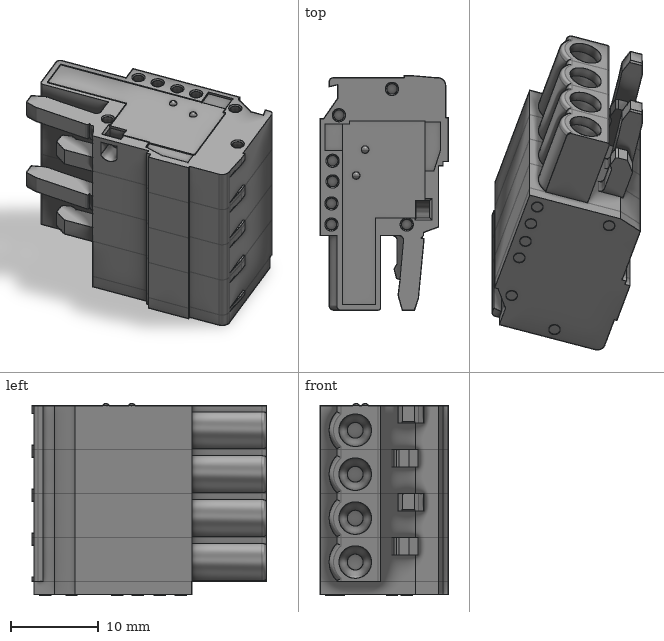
import cadquery as cq

module_count = 4
module_pitch = 5.0
stack_height = module_count * module_pitch

width = 14.6
back = 17.97
neck_x = 2.0
hook_x = 1.03
left_ledge = 13.31
ledge_x = 0.4
neck_end = 15.62
hook_tip = 16.93
hook_root = 17.15
hook_radius = 0.47
back_x = 14.3
back_radius = 0.9
step_top = 13.42
step_end = 8.42
step_x = 14.0
substep_end = 7.93
right_x = 13.5
slope_top = 0.98
slope_x = 10.84

ridge_height = 0.23
ridge_start = 9.55
ridge_flat_end = 10.55
ridge_end = 13.2
ridge_upper_depth = 0.9
ridge_lower_depth = 0.5

plate_thickness = 1.5
pin_height = 0.1
pin_diameter = 1.3

plug_length = 8.5
plug_left = 1.9
plug_right = 6.9
plug_axis_x = 4.0
plug_axis_z = 2.2
plug_radius = 2.97
plug_edge_radius = 0.5
plug_corner_radius = 0.3
bore_diameter = 3.7
bore_tip_diameter = 1.8
bore_depth = 1.15
bore_cone_depth = 1.5

latch_height = 2.0
latch_embed = 0.6
latch_root_radius = 0.55
long_latch_left = 9.5
short_latch_left = 8.75
long_latch_tip_chamfer = 0.2
long_latch_corners = [
    (9.1, -4.9), (8.87, -6.8), (9.35, -plug_length), (10.75, -plug_length), (11.2, -7.1),
    (11.82, -0.6), (11.82, -0.35), (11.5, -0.27), (11.77, 0), (11.77, latch_embed),
]
short_latch_corners = [
    (short_latch_left, -3.2), (8.42, -3.8), (8.7, -4.9), (9.0, -5.0), (10.1, -5.0),
    (11.14, -3.6), (11.14, latch_embed),
]

hole_centres = [
    (8.18, 16.69), (2.14, 13.7), (1.42, 8.51), (1.42, 6.16),
    (1.29, 3.66), (1.29, 1.26), (9.86, 1.26),
]
hole_diameter = 1.2
hole_rim_diameter = 1.5
hole_rim_depth = 0.15
hole_depth = 1.0

panel_depth = 0.1
pocket_depth = 0.25
panel_left = 2.57
panel_right = 11.95
panel_back = 13.05
panel_step_x = 3.35
left_pocket_x = 0.57
left_pocket_back = 12.72
left_pocket_front = 9.67
right_pocket_x = 13.7
right_pocket_back = 12.95
right_pocket_bend = 9.7
right_pocket_front_x = 12.95
right_pocket_front = 7.37
panel_shoulder = 2.0
panel_tongue_x = 6.3
panel_tongue_end = -7.85

dome_centres = [(5.12, 9.78), (4.1, 6.83)]
dome_diameter = 0.85
dome_height = 0.25

window_left = 10.8
window_right = 12.75
window_front = 1.8
window_back = 4.2
window_rim_depth = 0.34
well_left = 10.92
well_right = 12.45
well_front = 2.0
well_back = 4.0
well_depth = 2.4
trough_sag = 0.6
side_slot_top = 0.6


def prism(outline, bottom, height):
    return cq.Workplane("XY").workplane(offset=bottom).polyline(outline).close().extrude(height)


def box(x0, x1, y0, y1, z0, z1):
    return cq.Workplane("XY").box(x1 - x0, y1 - y0, z1 - z0, centered=False).translate((x0, y0, z0))


def profile(left_edge):
    """Closed section of the body; left_edge draws from the neck to the straight back edge."""
    return (
        left_edge(
            cq.Workplane("XY")
            .moveTo(0, 0)
            .lineTo(0, left_ledge)
            .lineTo(ledge_x, left_ledge)
            .lineTo(neck_x, neck_end)
        )
        .lineTo(back_x - back_radius, back)
        .radiusArc((back_x, back - back_radius), back_radius)
        .lineTo(back_x, step_top)
        .lineTo(width, step_top)
        .lineTo(width, step_end)
        .lineTo(step_x, step_end)
        .lineTo(step_x, substep_end)
        .lineTo(right_x, substep_end)
        .lineTo(right_x, slope_top)
        .lineTo(slope_x, 0)
        .close()
    )


def hooked_edge(path):
    return (
        path.lineTo(neck_x, hook_root)
        .lineTo(hook_x, hook_tip)
        .lineTo(hook_x, back - hook_radius)
        .radiusArc((hook_x + hook_radius, back), hook_radius)
    )


def plain_edge(path):
    return path.lineTo(neck_x, back)


def housing():
    """Body of one module, with the hook at the back left."""
    return profile(hooked_edge).extrude(module_pitch)


def ridges():
    """Two shallow ridges on the back face, at the top and the bottom of one module."""
    outline = [
        (ridge_start, back - ridge_height),
        (ridge_start, back + ridge_height),
        (ridge_flat_end, back + ridge_height),
        (ridge_end, back),
        (ridge_end, back - ridge_height),
    ]
    upper = prism(outline, module_pitch - ridge_upper_depth, ridge_upper_depth)
    return upper.union(prism(outline, 0, ridge_lower_depth))


def plug():
    """Plug sleeve: a block with a cylindrical bulge on its left, rounded at the free end."""
    block = box(plug_left, plug_right, -plug_length, 0, 0, module_pitch)
    block = block.edges("<Y and >X").fillet(plug_corner_radius)
    block = block.edges("<Y and <X").fillet(plug_edge_radius)
    bulge = (
        cq.Workplane("XZ")
        .center(plug_axis_x, plug_axis_z)
        .circle(plug_radius)
        .extrude(plug_length)
        .faces("<Y").edges().fillet(plug_edge_radius)
    )
    keep = box(0, plug_axis_x, -plug_length, 0, 0, module_pitch)
    return block.union(bulge.intersect(keep))


def plug_bore():
    """Straight wire entry that narrows to a conical seat."""
    cone_start = bore_depth - plug_length
    cone_end = cone_start + bore_cone_depth
    return (
        cq.Workplane("XY")
        .moveTo(0, -plug_length)
        .lineTo(bore_diameter / 2, -plug_length)
        .lineTo(bore_diameter / 2, cone_start)
        .lineTo(bore_tip_diameter / 2, cone_end)
        .lineTo(0, cone_end)
        .close()
        .revolve(360, (0, 0, 0), (0, 1, 0))
        .translate((plug_axis_x, 0, plug_axis_z))
    )


def latch_arm(left_face, corners):
    """Arm at the top of a module: a filleted root on the left, then straight runs through the corners."""
    root_x = left_face - latch_root_radius
    return (
        cq.Workplane("XY")
        .workplane(offset=module_pitch - latch_height)
        .moveTo(root_x, latch_embed)
        .lineTo(root_x, 0)
        .radiusArc((left_face, -latch_root_radius), latch_root_radius)
        .polyline(corners, includeCurrent=True)
        .close()
        .extrude(latch_height)
    )


def long_latch():
    """Long tapered arm with its tip bevelled underneath and a small notch at its right root."""
    arm = latch_arm(long_latch_left, long_latch_corners)
    return arm.faces("<Y").edges("<Z").chamfer(long_latch_tip_chamfer)


def short_latch():
    """Short arm with a barb on its left side."""
    return latch_arm(short_latch_left, short_latch_corners)


def module(latch):
    return housing().union(ridges()).union(plug()).union(latch).cut(plug_bore())


def end_plate():
    """Plain closing plate below the stack, with locating pins underneath."""
    plate = profile(plain_edge).extrude(-plate_thickness)
    pins = (
        cq.Workplane("XY")
        .workplane(offset=-plate_thickness - pin_height)
        .pushPoints(hole_centres)
        .circle(pin_diameter / 2)
        .extrude(2 * pin_height)
    )
    return plate.union(pins)


def top_hole(centre):
    """Blind socket with a conical lead-in."""
    top = cq.Workplane("XY").workplane(offset=stack_height).center(*centre)
    socket = top.circle(hole_diameter / 2).extrude(-hole_depth)
    rim = (
        top.circle(hole_rim_diameter / 2)
        .workplane(offset=-hole_rim_depth)
        .circle(hole_diameter / 2)
        .loft()
    )
    return socket.union(rim)


def panel_recess():
    """Shallow panel recess with a deeper pocket on either side."""
    panel = [
        (panel_left, left_pocket_back), (panel_step_x, left_pocket_back),
        (panel_step_x, panel_back), (panel_right, panel_back), (panel_right, panel_shoulder),
        (panel_tongue_x, panel_shoulder), (panel_tongue_x, panel_tongue_end),
        (panel_left, panel_tongue_end),
    ]
    right_pocket = [
        (panel_right, right_pocket_back), (right_pocket_x, right_pocket_back),
        (right_pocket_x, right_pocket_bend), (right_pocket_front_x, right_pocket_front),
        (panel_right, right_pocket_front),
    ]
    left_pocket = box(
        left_pocket_x, panel_left, left_pocket_front, left_pocket_back,
        stack_height - pocket_depth, stack_height,
    )
    recess = prism(panel, stack_height - panel_depth, panel_depth)
    return recess.union(prism(right_pocket, stack_height - pocket_depth, pocket_depth)).union(left_pocket)


def window_rim():
    """Tapered rim of the window; on the left its back edge stops at the panel."""
    rim = (
        cq.Workplane("XY")
        .workplane(offset=stack_height)
        .moveTo(window_left, window_front)
        .lineTo(window_right, window_front)
        .lineTo(window_right, window_back)
        .lineTo(window_left, window_back)
        .close()
        .workplane(offset=-window_rim_depth)
        .moveTo(well_left, well_front)
        .lineTo(well_right, well_front)
        .lineTo(well_right, well_back)
        .lineTo(well_left, well_back)
        .close()
        .loft()
    )
    closed_part = box(
        window_left, panel_right, well_back, window_back, stack_height - window_rim_depth, stack_height,
    )
    return rim.cut(closed_part)


def trough(right_end, depth):
    """Well with a concave floor, running in X from the well's left wall."""
    floor_z = stack_height - well_depth
    return (
        cq.Workplane("YZ")
        .workplane(offset=well_left)
        .moveTo(well_front, stack_height - depth)
        .lineTo(well_front, floor_z)
        .sagittaArc((well_back, floor_z), -trough_sag)
        .lineTo(well_back, stack_height - depth)
        .close()
        .extrude(right_end - well_left)
    )


def window():
    """Rimmed window over a well that is also open through the right side."""
    well = trough(well_right, 0)
    side_opening = trough(width, side_slot_top)
    return window_rim().union(well).union(side_opening)


def dome(centre):
    """Spherical cap standing on the panel, rising above the top face."""
    rise = dome_height + panel_depth
    foot = dome_diameter / 2
    sphere_radius = (foot ** 2 + rise ** 2) / (2 * rise)
    sphere = cq.Workplane("XY").sphere(sphere_radius)
    sphere = sphere.translate((centre[0], centre[1], stack_height + dome_height - sphere_radius))
    cap_bottom = stack_height - 2 * panel_depth
    cap = cq.Workplane("XY").workplane(offset=cap_bottom).center(*centre).circle(foot)
    return sphere.intersect(cap.extrude(rise + panel_depth))


body = end_plate()
for level in range(module_count):
    latch = long_latch() if level % 2 == 1 else short_latch()
    body = body.union(module(latch).translate((0, 0, level * module_pitch)), clean=False)

body = body.cut(panel_recess(), clean=False).cut(window(), clean=False)
for centre in hole_centres:
    body = body.cut(top_hole(centre), clean=False)
for centre in dome_centres:
    body = body.union(dome(centre), clean=False)

result = body